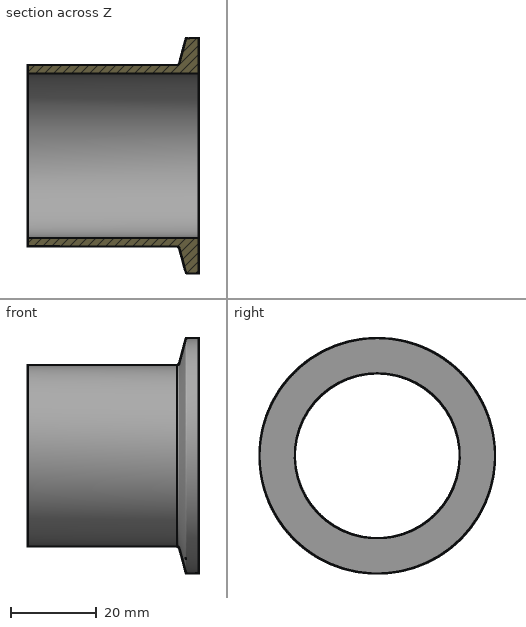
import cadquery as cq
import math

length = 40.0
bore_radius = 38.4 / 2
tube_radius = 42.4 / 2
flange_radius = 55.0 / 2
rim_width = 3.05
taper_angle = 15.0
root_fillet = 0.5
edge_fillet = 0.4

x_open_end = -length
x_face = 0.0
x_rim = x_face - rim_width
x_root = x_rim - (flange_radius - tube_radius) * math.tan(math.radians(taper_angle))


def ring_edge(x, radius):
    """Selector for the circular edge of the given radius at position x."""
    tolerance = 0.01
    return cq.selectors.BoxSelector(
        (x - tolerance, -radius - tolerance, -radius - tolerance),
        (x + tolerance, radius + tolerance, radius + tolerance),
        boundingbox=True,
    )


def ferrule_body():
    """Revolve the half section around the X axis."""
    section = (
        cq.Workplane("XZ")
        .moveTo(x_open_end, bore_radius)
        .lineTo(x_open_end, tube_radius)
        .lineTo(x_root, tube_radius)
        .lineTo(x_rim, flange_radius)
        .lineTo(x_face, flange_radius)
        .lineTo(x_face, bore_radius)
        .close()
    )
    return section.revolve(360, (0, 0, 0), (1, 0, 0))


body = ferrule_body()
body = body.edges(ring_edge(x_root, tube_radius)).fillet(root_fillet)
result = body.edges(ring_edge(x_rim, flange_radius)).fillet(edge_fillet)